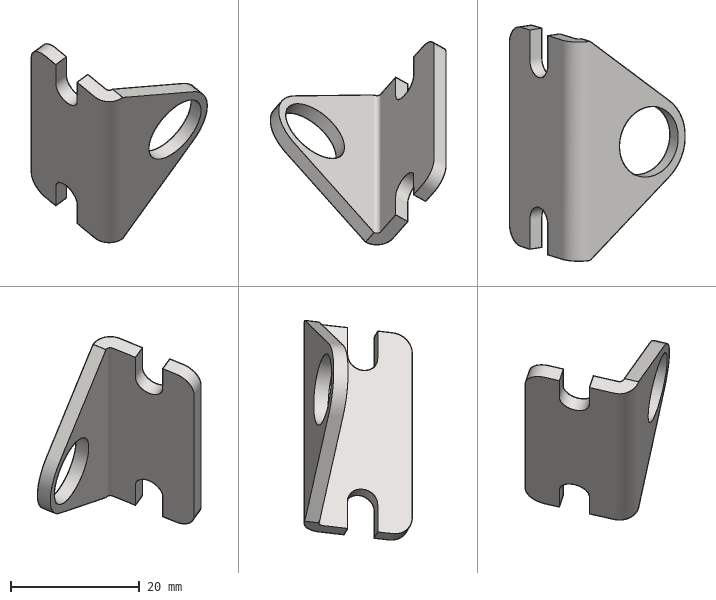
import cadquery as cq
import math

width = 17.45
depth = 21.15
height = 34.92
thickness = 2.3

inner_bend_radius = 0.77
outer_bend_radius = inner_bend_radius + thickness

corner_radius = 3.18
slot_width = 4.82
slot_depth = 7.12
slot_x = 7.95

ear_radius = 7.58
hole_diameter = 11.15
hole_y = 14.25

half_height = height / 2


def bent_sheet():
    """L section with a rounded bend, extruded over the full height."""
    section = (
        cq.Workplane("XY")
        .moveTo(0, 0)
        .lineTo(width, 0)
        .lineTo(width, depth)
        .lineTo(width - thickness, depth)
        .lineTo(width - thickness, thickness)
        .lineTo(0, thickness)
        .close()
        .extrude(half_height, both=True)
    )
    outer_edge = cq.NearestToPointSelector((width, 0, 0))
    inner_edge = cq.NearestToPointSelector((width - thickness, thickness, 0))
    return section.edges(outer_edge).fillet(outer_bend_radius).edges(inner_edge).fillet(inner_bend_radius)


def flange_outline():
    """Side profile: straight flanks running tangent into the rounded ear."""
    ear_y = depth - ear_radius
    flank_run = ear_y - outer_bend_radius
    corner_distance = math.hypot(flank_run, half_height)
    tangent_angle = math.pi - math.atan2(half_height, flank_run) - math.acos(ear_radius / corner_distance)
    tangent_y = ear_y + ear_radius * math.cos(tangent_angle)
    tangent_z = ear_radius * math.sin(tangent_angle)
    return (
        cq.Workplane("YZ")
        .moveTo(0, -half_height)
        .lineTo(outer_bend_radius, -half_height)
        .lineTo(tangent_y, -tangent_z)
        .threePointArc((depth, 0), (tangent_y, tangent_z))
        .lineTo(outer_bend_radius, half_height)
        .lineTo(0, half_height)
        .close()
        .extrude(width)
    )


def flange_hole():
    return (
        cq.Workplane("YZ", origin=(width - thickness, 0, 0))
        .center(hole_y, 0)
        .circle(hole_diameter / 2)
        .extrude(thickness)
    )


def end_slot(end):
    """Round-bottomed slot open at the top (end = 1) or bottom (end = -1)."""
    slot_radius = slot_width / 2
    slot_bottom = half_height - slot_depth
    return (
        cq.Workplane("XZ")
        .moveTo(slot_x - slot_radius, end * half_height)
        .lineTo(slot_x - slot_radius, end * (slot_bottom + slot_radius))
        .threePointArc(
            (slot_x, end * slot_bottom),
            (slot_x + slot_radius, end * (slot_bottom + slot_radius)),
        )
        .lineTo(slot_x + slot_radius, end * half_height)
        .close()
        .extrude(-thickness)
    )


bracket = bent_sheet().intersect(flange_outline())
bracket = bracket.edges("|Y and <X").fillet(corner_radius)
bracket = bracket.cut(flange_hole())
for end in (1, -1):
    bracket = bracket.cut(end_slot(end))

result = bracket